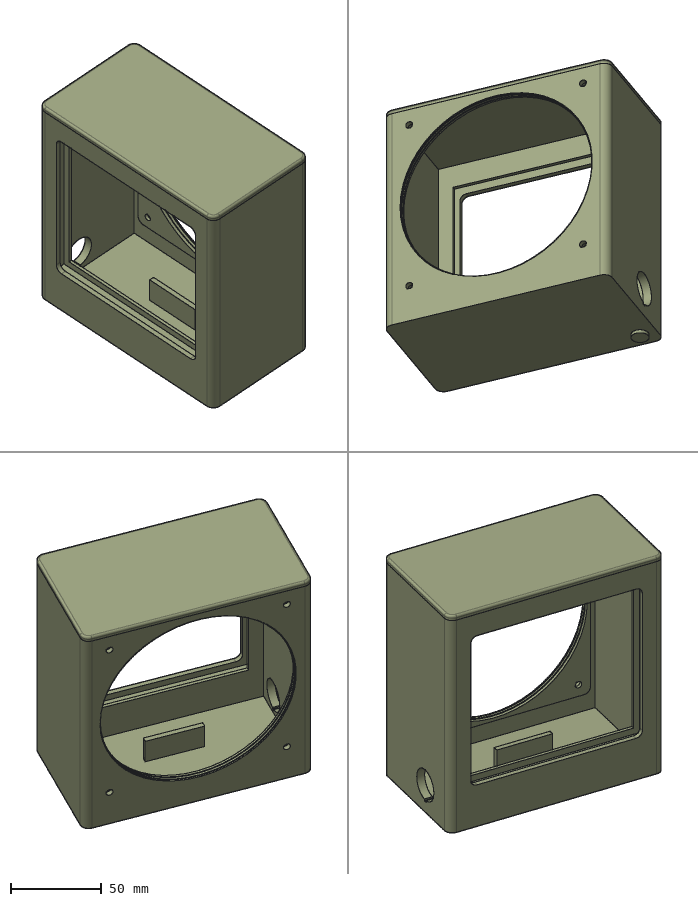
import cadquery as cq
WIDTH = 136.0
DEPTH = 75.0
TOTAL_HEIGHT = 143.0
WALL = 5.0
CORNER_RADIUS = 5.0

LID_THICKNESS = 3.0
LID_EDGE_RADIUS = 1.5

FOOT_DIAMETER = 10.0
FOOT_HEIGHT = 2.0
FOOT_INSET = 10.0

WINDOW_WIDTH = 108.1
WINDOW_HEIGHT = 97.0
WINDOW_CORNER_RADIUS = 4.0
OPENING_CENTER_Z = 75.5
FRONT_WALL = 3.0
SLOT_MARGIN = 4.0
SLOT_GAP = 7.0
RETAINER_THICKNESS = 2.0

PLATE_SIZE = 120.0
PLATE_THICKNESS = 2.0
PLATE_CORNER_RADIUS = 4.0
PLATE_BORE = 116.0
SCREW_HOLE = 4.0
SCREW_PITCH = 105.0

BACK_BORE = 115.0
COUNTERBORE_DEPTH = 1.0

SIDE_HOLE = 19.5
SIDE_HOLE_Y = -10.7
SIDE_HOLE_Z = 17.7
KEY_WIDTH = 2.0
KEY_DEPTH = 1.0

RIB_LENGTH = 35.2
RIB_HEIGHT = 15.0
RIB_THICKNESS = 3.0
RIB_FRONT_Y = -1.1

CASE_HEIGHT = TOTAL_HEIGHT - FOOT_HEIGHT - LID_THICKNESS
LEFT = -WIDTH / 2
FRONT = -DEPTH / 2
BACK = DEPTH / 2
INNER_BACK = BACK - WALL
INNER_WIDTH = WIDTH - 2 * WALL
SLOT_FRONT = FRONT + FRONT_WALL
SLOT_BACK = SLOT_FRONT + SLOT_GAP
CAVITY_FRONT = SLOT_BACK + RETAINER_THICKNESS
WINDOW_BOTTOM = OPENING_CENTER_Z - WINDOW_HEIGHT / 2
WINDOW_TOP = OPENING_CENTER_Z + WINDOW_HEIGHT / 2


def centered_block(width, y_range, z_range):
    """Block centred on x = 0 that spans the given y and z ranges."""
    y0, y1 = y_range
    z0, z1 = z_range
    return (
        cq.Workplane("XY", origin=(0, (y0 + y1) / 2, z0))
        .rect(width, y1 - y0)
        .extrude(z1 - z0)
    )


def rounded_slab(height):
    """Slab with the rounded plan outline shared by the case and the lid."""
    return cq.Workplane("XY").rect(WIDTH, DEPTH).extrude(height).edges("|Z").fillet(CORNER_RADIUS)


def opening_plane(y):
    """Plane facing -Y, centred on the window and the bore."""
    return cq.Workplane("XZ", origin=(0, y, OPENING_CENTER_Z))


def plate_blank():
    """Plate outline without holes, flush with the inner face of the back wall."""
    return (
        opening_plane(INNER_BACK)
        .rect(PLATE_SIZE, PLATE_SIZE)
        .extrude(-PLATE_THICKNESS)
        .edges("|Y")
        .fillet(PLATE_CORNER_RADIUS)
    )


def screw_holes():
    """Four screw holes through the plate and the back wall."""
    return (
        opening_plane(INNER_BACK)
        .rect(SCREW_PITCH, SCREW_PITCH, forConstruction=True)
        .vertices()
        .circle(SCREW_HOLE / 2)
        .extrude(-WALL)
    )


def front_opening():
    """Window, panel slot open at the top, and the opening in the retainer frame."""
    window = (
        opening_plane(FRONT)
        .rect(WINDOW_WIDTH, WINDOW_HEIGHT)
        .extrude(-FRONT_WALL)
        .edges("|Y")
        .fillet(WINDOW_CORNER_RADIUS)
    )
    slot = centered_block(
        WINDOW_WIDTH + 2 * SLOT_MARGIN,
        (SLOT_FRONT, SLOT_BACK),
        (WINDOW_BOTTOM - SLOT_MARGIN, CASE_HEIGHT),
    )
    retainer_opening = centered_block(WINDOW_WIDTH, (SLOT_BACK, CAVITY_FRONT), (WINDOW_BOTTOM, WINDOW_TOP))
    return window.union(slot).union(retainer_opening)


def back_bore():
    """Bore through the back wall, widened by a shallow counterbore at the outer face."""
    bore = opening_plane(INNER_BACK).circle(BACK_BORE / 2).extrude(-WALL)
    counterbore = opening_plane(BACK).circle(PLATE_BORE / 2).extrude(COUNTERBORE_DEPTH)
    return bore.union(counterbore)


def side_hole():
    """Round hole through the left wall with a small key notch at its bottom."""
    plane = cq.Workplane("YZ", origin=(LEFT, SIDE_HOLE_Y, SIDE_HOLE_Z))
    notch_reach = SIDE_HOLE / 2 + KEY_DEPTH
    notch = plane.center(0, -notch_reach / 2).rect(KEY_WIDTH, notch_reach).extrude(WALL)
    return plane.circle(SIDE_HOLE / 2).extrude(WALL).union(notch)


def make_case():
    cavity = centered_block(INNER_WIDTH, (CAVITY_FRONT, INNER_BACK), (WALL, CASE_HEIGHT))
    rib = centered_block(RIB_LENGTH, (RIB_FRONT_Y, RIB_FRONT_Y + RIB_THICKNESS), (WALL, WALL + RIB_HEIGHT))
    case = rounded_slab(CASE_HEIGHT).cut(cavity)
    for opening in (front_opening(), plate_blank(), back_bore(), screw_holes(), side_hole()):
        case = case.cut(opening)
    return case.union(rib)


def make_lid():
    lid = rounded_slab(LID_THICKNESS).faces(">Z").edges().fillet(LID_EDGE_RADIUS)
    return lid.translate((0, 0, CASE_HEIGHT))


def make_plate():
    bore = opening_plane(INNER_BACK).circle(PLATE_BORE / 2).extrude(-PLATE_THICKNESS)
    return plate_blank().cut(bore).cut(screw_holes())


def make_foot():
    return (
        cq.Workplane("XY", origin=(LEFT + FOOT_INSET, FRONT + FOOT_INSET, -FOOT_HEIGHT))
        .circle(FOOT_DIAMETER / 2)
        .extrude(FOOT_HEIGHT)
    )


case = make_case()
lid = make_lid()
plate = make_plate()
foot = make_foot()

result = cq.Compound.makeCompound([body.solids().val() for body in (case, lid, plate, foot)])